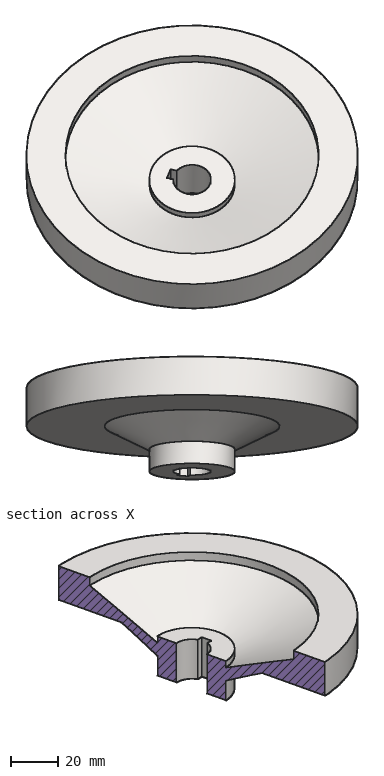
import cadquery as cq

rim_radius = 70.0
rim_inner_radius = 53.5
rim_height = 16.5
total_height = 36.0
rim_bottom = total_height - rim_height

hub_radius = 18.0
hub_top = 19.2
bore_radius = 8.0
keyway_width = 4.9
keyway_reach = 10.4

web_bottom_at_hub = 9.5
web_radius_at_rim_bottom = 37.0
web_top_at_hub = 16.1
lip_depth = 4.0


def make_body():
    """Revolve the solid half-section, without the bore, about Z."""
    return (
        cq.Workplane("XZ")
        .polyline([
            (0, 0),
            (hub_radius, 0),
            (hub_radius, web_bottom_at_hub),
            (web_radius_at_rim_bottom, rim_bottom),
            (rim_radius, rim_bottom),
            (rim_radius, total_height),
            (rim_inner_radius, total_height),
            (rim_inner_radius, total_height - lip_depth),
            (hub_radius, web_top_at_hub),
            (hub_radius, hub_top),
            (0, hub_top),
        ])
        .close()
        .revolve(360, (0, 0, 0), (0, 1, 0))
    )


def make_keyed_bore():
    """Through bore with a keyway on its -X side."""
    bore = cq.Workplane("XY").circle(bore_radius).extrude(hub_top)
    keyway = (
        cq.Workplane("XY")
        .center(-keyway_reach / 2, 0)
        .rect(keyway_reach, keyway_width)
        .extrude(hub_top)
    )
    return bore.union(keyway)


result = make_body().cut(make_keyed_bore())